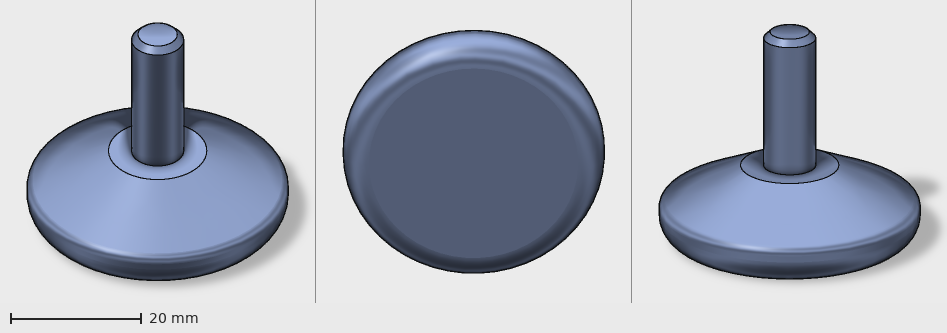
import cadquery as cq
import math

base_radius = 20.0
bottom_round = 4.0
rim_top = 5.0
shoulder_round = 1.6
cone_top_radius = 7.5
base_height = 12.0
stem_radius = 4.0
stem_chamfer = 1.0
total_height = 34.0

diagonal = math.sqrt(0.5)

shoulder_center = base_radius - shoulder_round
run = shoulder_center - cone_top_radius
drop = base_height - rim_top
cone_angle = math.atan2(drop, run) - math.asin(shoulder_round / math.hypot(run, drop))


def shoulder_point(angle):
    """Radius and height on the shoulder arc, with the angle measured up from horizontal."""
    return (
        shoulder_center + shoulder_round * math.cos(angle),
        rim_top + shoulder_round * math.sin(angle),
    )


shoulder_end_angle = math.pi / 2 - cone_angle
bottom_arc_middle = (
    base_radius - bottom_round * (1 - diagonal),
    bottom_round * (1 - diagonal),
)

base = (
    cq.Workplane("XZ")
    .lineTo(base_radius - bottom_round, 0)
    .threePointArc(bottom_arc_middle, (base_radius, bottom_round))
    .lineTo(base_radius, rim_top)
    .threePointArc(shoulder_point(shoulder_end_angle / 2), shoulder_point(shoulder_end_angle))
    .lineTo(cone_top_radius, base_height)
    .lineTo(0, base_height)
    .close()
    .revolve(360, (0, 0, 0), (0, 1, 0))
)

stem = (
    cq.Workplane("XY")
    .workplane(offset=base_height)
    .circle(stem_radius)
    .extrude(total_height - base_height)
    .faces(">Z")
    .chamfer(stem_chamfer)
)

result = base.union(stem)